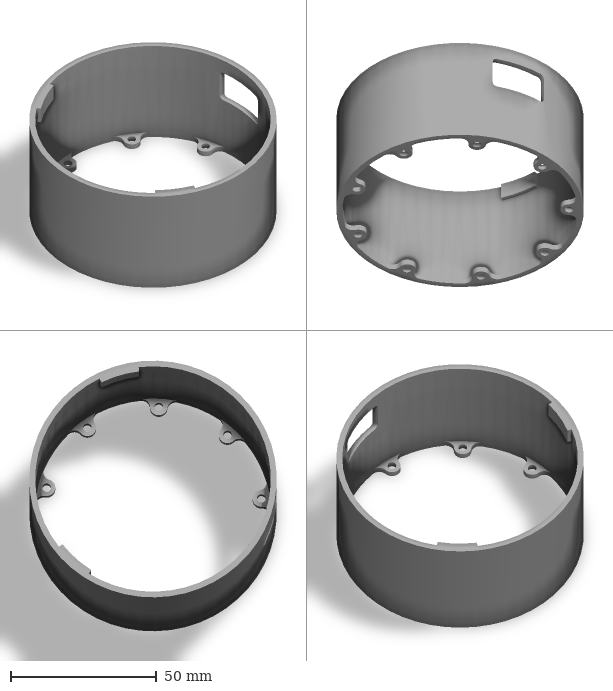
import cadquery as cq
import math

outer_radius = 42.5
height = 40.0
wall = 2.0
inner_radius = outer_radius - wall
wall_overlap = wall / 2

ear_count = 9
ear_first_angle = -90.0
ear_thickness = 2.0
ear_radius = 3.0
ear_hole_diameter = 3.0
ear_pitch_radius = inner_radius - ear_radius

tab_height = 6.0
tab_depth = 1.5
tab_span = 20.0
tab_center_angles = (-30.0, 210.0)

window_width = 20.1
window_height = 11.9
window_center_z = 28.6
window_corner_radius = 1.5


def polar(radius, angle):
    """Point at a radius and an angle in degrees."""
    radians = math.radians(angle)
    return radius * math.cos(radians), radius * math.sin(radians)


def make_ear(angle):
    """Round screw ear that flares into the wall on both sides.

    The concave flares have the ear's own radius, so their centers lie on the ear pitch circle.
    """
    flare_angle = math.degrees(2 * math.asin(ear_radius / ear_pitch_radius))
    flare_start = angle - flare_angle
    flare_end = angle + flare_angle
    neck_radius = ear_pitch_radius * math.cos(math.radians(flare_angle / 2))
    base_radius = inner_radius + wall_overlap

    def flare_middle(flare_center_angle, neck_angle):
        """Point on a flare halfway between its wall end and its neck."""
        center = polar(ear_pitch_radius, flare_center_angle)
        wall_point = polar(inner_radius, flare_center_angle)
        neck_point = polar(neck_radius, neck_angle)
        middle_x = wall_point[0] + neck_point[0] - 2 * center[0]
        middle_y = wall_point[1] + neck_point[1] - 2 * center[1]
        stretch = ear_radius / math.hypot(middle_x, middle_y)
        return center[0] + stretch * middle_x, center[1] + stretch * middle_y

    start_neck = angle - flare_angle / 2
    end_neck = angle + flare_angle / 2
    ear = (
        cq.Workplane("XY")
        .moveTo(*polar(base_radius, flare_start))
        .lineTo(*polar(inner_radius, flare_start))
        .threePointArc(flare_middle(flare_start, start_neck), polar(neck_radius, start_neck))
        .threePointArc(polar(ear_pitch_radius - ear_radius, angle), polar(neck_radius, end_neck))
        .threePointArc(flare_middle(flare_end, end_neck), polar(inner_radius, flare_end))
        .lineTo(*polar(base_radius, flare_end))
        .threePointArc(polar(base_radius, angle), polar(base_radius, flare_start))
        .close()
        .extrude(ear_thickness)
    )
    hole = (
        cq.Workplane("XY")
        .center(*polar(ear_pitch_radius, angle))
        .circle(ear_hole_diameter / 2)
        .extrude(ear_thickness)
    )
    return ear.cut(hole)


def make_tab(angle):
    """Arc-shaped tab on the inner wall, flush with the top rim."""
    start = angle - tab_span / 2
    end = angle + tab_span / 2
    tip_radius = inner_radius - tab_depth
    base_radius = inner_radius + wall_overlap
    return (
        cq.Workplane("XY", origin=(0, 0, height - tab_height))
        .moveTo(*polar(tip_radius, start))
        .threePointArc(polar(tip_radius, angle), polar(tip_radius, end))
        .lineTo(*polar(base_radius, end))
        .threePointArc(polar(base_radius, angle), polar(base_radius, start))
        .close()
        .extrude(tab_height)
    )


def make_window():
    """Rounded cutter reaching from inside the ring outward through the +Y wall."""
    return (
        cq.Workplane("XY")
        .box(window_width, outer_radius, window_height)
        .edges("|Y")
        .fillet(window_corner_radius)
        .translate((0, outer_radius / 2 + wall, window_center_z))
    )


result = cq.Workplane("XY").circle(outer_radius).circle(inner_radius).extrude(height)
result = result.cut(make_window())

for index in range(ear_count):
    result = result.union(make_ear(ear_first_angle + index * 360 / ear_count))

for tab_angle in tab_center_angles:
    result = result.union(make_tab(tab_angle))